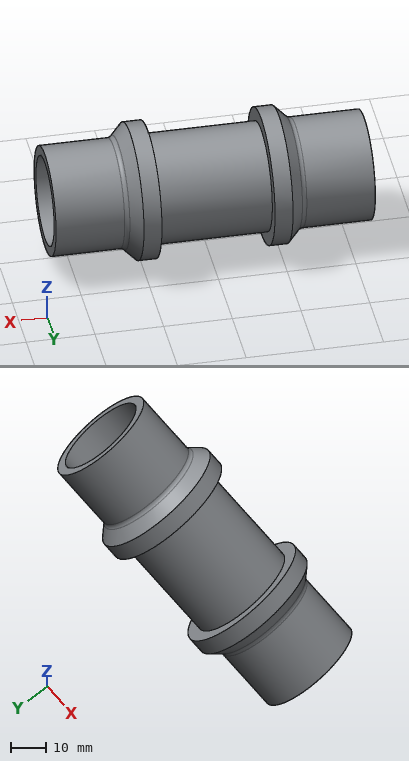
import cadquery as cq
import math

length = 93.0
pipe_radius = 32.0 / 2
bore_radius = 26.2 / 2
collar_radius = 40.0 / 2
spigot_length = 20.0
collar_inner_face = 30.0
fillet_radius = 1.95
cone_angle = math.radians(45)


def fillet_point(angle):
    """Point (x, radius) on the fillet arc after turning by angle from the pipe surface."""
    return (
        spigot_length + fillet_radius * math.sin(angle),
        pipe_radius + fillet_radius * (1 - math.cos(angle)),
    )


def make_cylinder(radius):
    """Full-length cylinder along X, centred on the origin."""
    return cq.Workplane("YZ", origin=(-length / 2, 0, 0)).circle(radius).extrude(length)


def make_collar():
    """Collar at the -X end: fillet, cone, cylindrical rim and flat inner face."""
    cone_start = fillet_point(cone_angle)
    rim_start = cone_start[0] + (collar_radius - cone_start[1]) / math.tan(cone_angle)
    return (
        cq.Workplane("XY", origin=(-length / 2, 0, 0))
        .moveTo(spigot_length, 0)
        .lineTo(spigot_length, pipe_radius)
        .threePointArc(fillet_point(cone_angle / 2), cone_start)
        .lineTo(rim_start, collar_radius)
        .lineTo(collar_inner_face, collar_radius)
        .lineTo(collar_inner_face, 0)
        .close()
        .revolve(360, (0, 0, 0), (1, 0, 0))
    )


tube = make_cylinder(pipe_radius)
bore = make_cylinder(bore_radius)
collar = make_collar()

result = tube.union(collar).union(collar.mirror("YZ")).cut(bore)